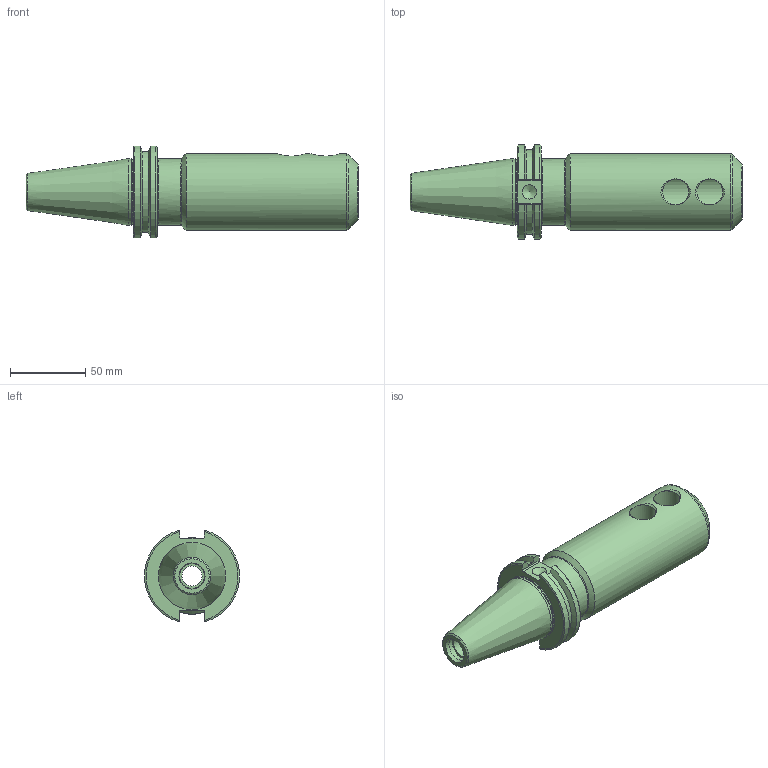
import cadquery as cq
import math

INCH = 25.4
MATCH_TOLERANCE = 0.01

TAPER_LENGTH = 68.25
TAPER_RATIO = 7 / 24
GAUGE_DIAMETER = 1.75 * INCH
TAPER_END_CHAMFER = 0.8
GAUGE_LAND_LENGTH = 1.6
RELIEF_DIAMETER = 43.6

FLANGE_START = 0.125 * INCH
FLANGE_END = 0.75 * INCH
FLANGE_DIAMETER = 63.26
FLANGE_FRONT_CHAMFER = (0.4, 1.0)
FLANGE_REAR_CHAMFER = 1.0
FLANGE_ROOT_RADIUS = 0.6
GROOVE_CENTER = 0.4375 * INCH
GROOVE_FLOOR_WIDTH = 4.0
GROOVE_FLOOR_DIAMETER = 56.36
GROOVE_MOUTH_WIDTH = 7.0

SLOT_WIDTH = 0.645 * INCH
SLOT_FLOOR_RADIUS = 0.8
TOP_SLOT_FLOOR = 25.0
BOTTOM_SLOT_FLOOR = 22.6
DIMPLE_DIAMETER = 9.53
DIMPLE_POINT_ANGLE = 118

NOSE_X = 6 * INCH
NECK_DIAMETER = GAUGE_DIAMETER
NECK_END = 1.375 * INCH
BODY_DIAMETER = 2 * INCH
NOSE_DIAMETER = 37.2
NOSE_SHOULDER_RADIUS = 2.0
NECK_ROOT_RADIUS = 1.0
NOSE_EDGE_RADIUS = 0.8

THROUGH_BORE_DIAMETER = 13.39
PULL_STUD_BORE_DIAMETER = 16.3
PULL_STUD_MOUTH_DIAMETER = 17.32
PULL_STUD_MOUTH_DEPTH = 2.5
PULL_STUD_BORE_DEPTH = 5.6
SHANK_BORE_DIAMETER = INCH
SHANK_BORE_DEPTH = 2.5 * INCH
SHANK_MOUTH_DIAMETER = 26.6

SCREW_HOLE_DIAMETER = 17.32
SCREW_MOUTH_DIAMETER = 19.5
SCREW_HOLE_POSITIONS = (108.3, 131.0)


def revolve_about_x(points):
    """Revolve an outline of (x, radius) points about the X axis."""
    return cq.Workplane("XY").polyline(points).close().revolve(360, (0, 0, 0), (1, 0, 0))


def round_ring_edge(body, x, ring_radius, fillet_radius):
    """Fillet the circular edge of the turned body at x with the given radius."""
    rings = [
        edge for edge in body.edges("%CIRCLE").vals()
        if abs(edge.Center().x - x) < MATCH_TOLERANCE
        and abs(edge.radius() - ring_radius) < MATCH_TOLERANCE
    ]
    return body.newObject(rings).fillet(fillet_radius)


def make_turned_body():
    small_radius = (GAUGE_DIAMETER - TAPER_LENGTH * TAPER_RATIO) / 2
    chamfer_end_radius = small_radius + TAPER_END_CHAMFER * TAPER_RATIO / 2
    gauge_radius = GAUGE_DIAMETER / 2
    relief_radius = RELIEF_DIAMETER / 2
    flange_radius = FLANGE_DIAMETER / 2
    front_chamfer_length, front_chamfer_height = FLANGE_FRONT_CHAMFER
    groove_radius = GROOVE_FLOOR_DIAMETER / 2
    floor_half = GROOVE_FLOOR_WIDTH / 2
    mouth_half = GROOVE_MOUTH_WIDTH / 2
    neck_radius = NECK_DIAMETER / 2
    body_radius = BODY_DIAMETER / 2
    nose_radius = NOSE_DIAMETER / 2
    body_start = NECK_END + body_radius - neck_radius
    body_end = NOSE_X - (body_radius - nose_radius)

    body = revolve_about_x([
        (-TAPER_LENGTH, 0),
        (-TAPER_LENGTH, small_radius - TAPER_END_CHAMFER),
        (-TAPER_LENGTH + TAPER_END_CHAMFER, chamfer_end_radius),
        (0, gauge_radius),
        (GAUGE_LAND_LENGTH, gauge_radius),
        (GAUGE_LAND_LENGTH, relief_radius),
        (FLANGE_START, relief_radius),
        (FLANGE_START, flange_radius - front_chamfer_height),
        (FLANGE_START + front_chamfer_length, flange_radius),
        (GROOVE_CENTER - mouth_half, flange_radius),
        (GROOVE_CENTER - floor_half, groove_radius),
        (GROOVE_CENTER + floor_half, groove_radius),
        (GROOVE_CENTER + mouth_half, flange_radius),
        (FLANGE_END - FLANGE_REAR_CHAMFER, flange_radius),
        (FLANGE_END, flange_radius - FLANGE_REAR_CHAMFER),
        (FLANGE_END, neck_radius),
        (NECK_END, neck_radius),
        (body_start, body_radius),
        (body_end, body_radius),
        (NOSE_X, nose_radius),
        (NOSE_X, 0),
    ])
    rounded_rings = (
        (FLANGE_START, relief_radius, FLANGE_ROOT_RADIUS),
        (FLANGE_END, neck_radius, FLANGE_ROOT_RADIUS),
        (NECK_END, neck_radius, NECK_ROOT_RADIUS),
        (body_end, body_radius, NOSE_SHOULDER_RADIUS),
        (NOSE_X, nose_radius, NOSE_EDGE_RADIUS),
    )
    for x, ring_radius, fillet_radius in rounded_rings:
        body = round_ring_edge(body, x, ring_radius, fillet_radius)
    return body


def make_axial_bores():
    through_radius = THROUGH_BORE_DIAMETER / 2
    stud_radius = PULL_STUD_BORE_DIAMETER / 2
    stud_mouth_radius = PULL_STUD_MOUTH_DIAMETER / 2
    shank_radius = SHANK_BORE_DIAMETER / 2
    shank_mouth_radius = SHANK_MOUTH_DIAMETER / 2
    shank_chamfer = shank_mouth_radius - shank_radius
    stud_mouth_end = -TAPER_LENGTH + PULL_STUD_MOUTH_DEPTH
    stud_bore_end = -TAPER_LENGTH + PULL_STUD_BORE_DEPTH
    shank_bore_start = NOSE_X - SHANK_BORE_DEPTH
    return revolve_about_x([
        (-TAPER_LENGTH, 0),
        (-TAPER_LENGTH, stud_mouth_radius),
        (stud_mouth_end, stud_radius),
        (stud_bore_end, stud_radius),
        (stud_bore_end, through_radius),
        (shank_bore_start, through_radius),
        (shank_bore_start, shank_radius),
        (NOSE_X - shank_chamfer, shank_radius),
        (NOSE_X, shank_mouth_radius),
        (NOSE_X, 0),
    ])


def make_drive_slot(floor_height):
    """Slot across the flange, open outward; a negative height opens downward."""
    slot_length = FLANGE_END - FLANGE_START
    slot_depth = FLANGE_DIAMETER / 2 - abs(floor_height)
    outer_side = math.copysign(1, floor_height)
    center = ((FLANGE_START + FLANGE_END) / 2, 0, floor_height + outer_side * slot_depth / 2)
    slot = cq.Workplane("XY").box(slot_length, SLOT_WIDTH, slot_depth)
    floor_face = "<Z" if floor_height > 0 else ">Z"
    slot = slot.faces(floor_face).edges("|X").fillet(SLOT_FLOOR_RADIUS)
    return slot.translate(center)


def make_dimple():
    """Conical drill point sunk in the floor of the top slot."""
    radius = DIMPLE_DIAMETER / 2
    depth = radius / math.tan(math.radians(DIMPLE_POINT_ANGLE / 2))
    cone = cq.Solid.makeCone(
        radius, 0, depth, cq.Vector(GROOVE_CENTER, 0, TOP_SLOT_FLOOR), cq.Vector(0, 0, -1)
    )
    return cq.Workplane("XY").add(cone)


def make_screw_hole(x):
    """Countersunk hole from the top of the body down into the shank bore."""
    hole_radius = SCREW_HOLE_DIAMETER / 2
    mouth_radius = SCREW_MOUTH_DIAMETER / 2
    body_top = BODY_DIAMETER / 2
    countersink_bottom = body_top - (mouth_radius - hole_radius)
    outline = [
        (0, 0),
        (hole_radius, 0),
        (hole_radius, countersink_bottom),
        (mouth_radius, body_top),
        (0, body_top),
    ]
    tool = cq.Workplane("XZ").polyline(outline).close().revolve(360, (0, 0, 0), (0, 1, 0))
    return tool.translate((x, 0, 0))


result = make_turned_body().cut(make_axial_bores())
for slot_floor in (TOP_SLOT_FLOOR, -BOTTOM_SLOT_FLOOR):
    result = result.cut(make_drive_slot(slot_floor))
result = result.cut(make_dimple())
for screw_x in SCREW_HOLE_POSITIONS:
    result = result.cut(make_screw_hole(screw_x))